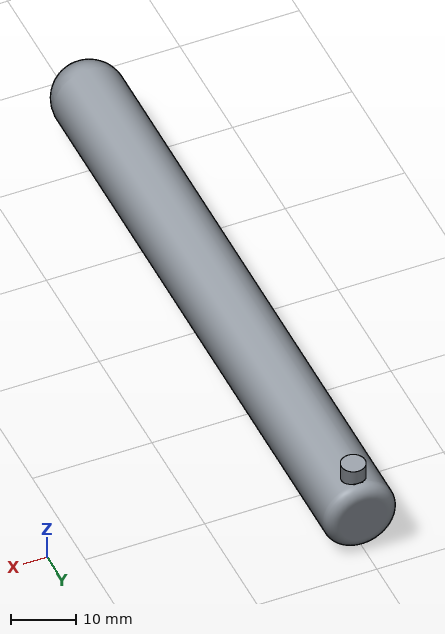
import cadquery as cq

length = 110.0
diameter = 12.0
radius = diameter / 2
end_fillet = 2.0

overall_height = 14.5
pin_diameter = 4.0
pin_end_distance = 4.0

front_y = -length / 2
back_y = length / 2
pin_top_z = overall_height - radius


def make_rod():
    """Round rod with a hemispherical front and a filleted back edge."""
    straight_length = length - radius
    body = (
        cq.Workplane("XZ", origin=(0, back_y, 0))
        .circle(radius)
        .extrude(straight_length)
        .faces(">Y")
        .edges()
        .fillet(end_fillet)
    )
    nose = cq.Workplane("XY").sphere(radius).translate((0, front_y + radius, 0))
    return body.union(nose)


def make_pin():
    """Vertical pin rising from the rod axis to the overall height."""
    return (
        cq.Workplane("XY", origin=(0, back_y - pin_end_distance, 0))
        .circle(pin_diameter / 2)
        .extrude(pin_top_z)
    )


result = make_rod().union(make_pin())